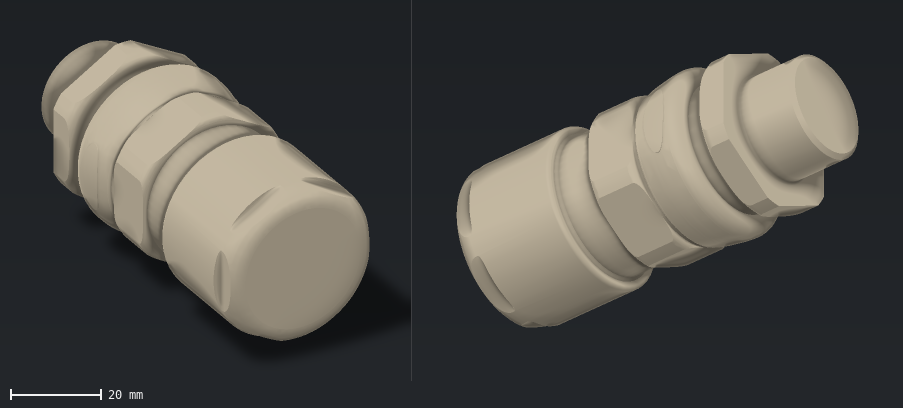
import cadquery as cq
import math


across_flats = 36.0
hex_corner_radius = 19.7

spigot_radius = 25.0 / 2
spigot_tip_radius = 22.7 / 2
spigot_tip_chamfer_length = 0.9
spigot_root_fillet = 0.59
entry_hex_start = 14.9
entry_hex_end = 21.7
entry_hex_round = 2.4
neck_fillet = 1.1
neck_start = entry_hex_end + neck_fillet
neck_start_radius = 29.8 / 2
neck_taper = 0.2

boot_start = 26.4
boot_front_round = 3.4
boot_crest_radius = 40.5 / 2
boot_crest_x = boot_start + boot_front_round
boot_back_x = 38.7
boot_back_radius = 18.7
boot_lip_round = 0.7
boot_undercut_angle = math.radians(35)
pad_center_x = 33.0
pad_length = 6.0
pad_width = 16.9
pad_height = 0.2

collar_radius = 18.1
body_hex_start = 40.4
body_hex_end = 52.75
body_hex_round = 1.6
tube_radius = 33.65 / 2
joint_x = pad_center_x

nut_start = 62.0
nut_lip_length = 0.7
nut_lip_height = 0.7
nut_radius = 39.1 / 2
nut_front_round = 0.9
nut_end_round = 4.6
nut_end = 90.95
nut_flat_start = 85.0
nut_flat_fillet = 0.8
nut_flat_count = 6


def neck_radius(x):
    """Radius of the tapered neck at position x."""
    return neck_start_radius + neck_taper * (x - neck_start)


def revolve(profile):
    """Turn a closed (x, radius) profile about the X axis."""
    return profile.close().revolve(360, (0, 0, 0), (1, 0, 0))


def cylinder(start, end, radius):
    """Cylinder along the X axis."""
    return cq.Workplane("YZ", origin=(start, 0, 0)).circle(radius).extrude(end - start)


def hexagon(start, end):
    """Hexagonal prism along X, with two flats facing +Y and -Y."""
    across_corners = across_flats / math.cos(math.pi / 6)
    prism = cq.Workplane("YZ", origin=(start, 0, 0)).polygon(6, across_corners).extrude(end - start)
    return prism.rotate((0, 0, 0), (1, 0, 0), 30)


def turned_hexagon(start, end, end_round, rounded_ends):
    """Hexagon cut from a round disc whose chosen end edges are rounded."""
    disc = cylinder(start, end, hex_corner_radius).faces(rounded_ends).edges().fillet(end_round)
    return disc.intersect(hexagon(start, end))


def make_entry():
    """Chamfered spigot, hexagon and tapered neck in one piece."""
    hex_part = turned_hexagon(entry_hex_start, entry_hex_end, entry_hex_round, ">X")
    root_x = entry_hex_start - spigot_root_fillet
    root_radius = spigot_radius + spigot_root_fillet
    shaft = revolve(
        cq.Workplane("XY")
        .lineTo(0, spigot_tip_radius)
        .lineTo(spigot_tip_chamfer_length, spigot_radius)
        .lineTo(root_x, spigot_radius)
        .radiusArc((entry_hex_start, root_radius), -spigot_root_fillet)
        .lineTo(entry_hex_end, root_radius)
        .lineTo(entry_hex_end, neck_start_radius + neck_fillet)
        .radiusArc((neck_start, neck_start_radius), -neck_fillet)
        .lineTo(joint_x, neck_radius(joint_x))
        .lineTo(joint_x, 0)
    )
    return shaft.union(hex_part).solids()


def make_body():
    """Collar, hexagon and tube in one piece."""
    hex_part = turned_hexagon(body_hex_start, body_hex_end, body_hex_round, "<X or >X")
    collar = cylinder(joint_x, body_hex_start, collar_radius)
    tube = cylinder(body_hex_start, nut_start, tube_radius)
    return collar.union(tube).union(hex_part).solids()


def boot_blank(growth=0.0):
    """Boot without its bore, its front round and crown grown outward by the given amount."""
    round_radius = boot_front_round + growth
    round_center_radius = boot_crest_radius - boot_front_round
    inner_x = boot_crest_x - round_radius * math.cos(boot_undercut_angle)
    inner_radius = round_center_radius - round_radius * math.sin(boot_undercut_angle)
    back_radius = boot_back_radius + growth
    crown_drop = boot_crest_radius - boot_back_radius
    crown_run = boot_back_x - boot_crest_x
    crown_arc_radius = (crown_run**2 + crown_drop**2) / (2 * crown_drop)
    lip_end_x = boot_back_x + boot_lip_round
    return revolve(
        cq.Workplane("XY")
        .moveTo(inner_x, 0)
        .lineTo(inner_x, inner_radius)
        .threePointArc(
            (boot_crest_x - round_radius, round_center_radius),
            (boot_crest_x, boot_crest_radius + growth),
        )
        .radiusArc((boot_back_x, back_radius), crown_arc_radius)
        .radiusArc((lip_end_x, back_radius - boot_lip_round), boot_lip_round)
        .lineTo(lip_end_x, 0)
    )


def make_boot(entry, body):
    """Boot with a raised oval pad on its two sides and a bore that fits the entry and the body."""
    oval = (
        cq.Workplane("XZ", origin=(pad_center_x, 0, 0))
        .ellipse(pad_length / 2, pad_width / 2)
        .extrude(boot_crest_radius + 2 * pad_height, both=True)
    )
    pads = boot_blank(pad_height).intersect(oval)
    return boot_blank().union(pads).cut(entry).cut(body).solids()


def make_nut():
    """Round nut with a conical lip, a domed end and wrench flats milled into that end."""
    face_x = nut_start + nut_lip_length
    nut = revolve(
        cq.Workplane("XY")
        .moveTo(nut_start, 0)
        .lineTo(nut_start, tube_radius)
        .lineTo(face_x, tube_radius + nut_lip_height)
        .lineTo(face_x, nut_radius - nut_front_round)
        .radiusArc((face_x + nut_front_round, nut_radius), nut_front_round)
        .lineTo(nut_end - nut_end_round, nut_radius)
        .radiusArc((nut_end, nut_radius - nut_end_round), nut_end_round)
        .lineTo(nut_end, 0)
    )
    flat_length = nut_end - nut_flat_start
    flat_depth = nut_radius - across_flats / 2
    cutter = (
        cq.Workplane("XY")
        .box(flat_length, 2 * flat_depth, nut_radius, centered=(False, False, True))
        .edges("<X and <Y")
        .fillet(nut_flat_fillet)
        .translate((nut_flat_start, across_flats / 2, 0))
    )
    for side in range(nut_flat_count):
        nut = nut.cut(cutter.rotate((0, 0, 0), (1, 0, 0), side * 360 / nut_flat_count))
    return nut.solids()


entry = make_entry()
body = make_body()
boot = make_boot(entry, body)
nut = make_nut()

result = cq.Compound.makeCompound([entry.val(), body.val(), boot.val(), nut.val()])